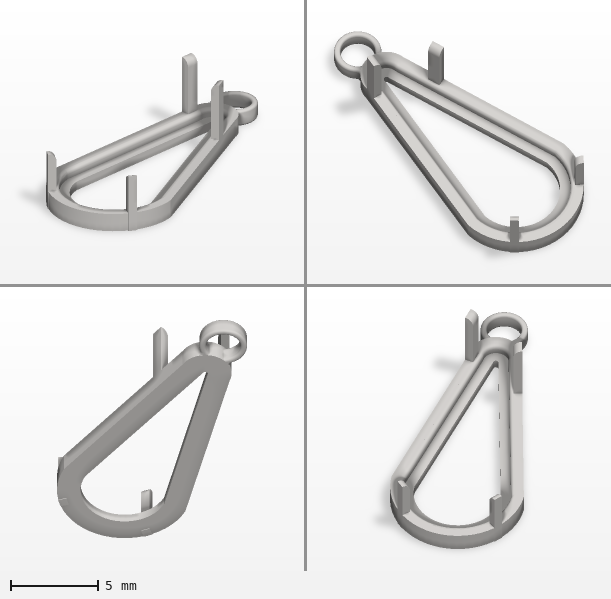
import cadquery as cq
import math

wide_radius = 3.875
narrow_radius = 1.5
centre_distance = 10.5
frame_height = 1.1
wall_thickness = 0.5
rim_round = 0.25
ledge_width = 0.6
ledge_height = 0.55
seat_inset = wall_thickness + rim_round
opening_inset = seat_inset + ledge_width

overall_length = 18.06
ring_outer_radius = 1.36
ring_inner_radius = 1.0
ring_height = 1.0
ring_round = 0.16
neck_round = 0.23
ring_centre_y = overall_length - wide_radius - ring_outer_radius

prong_depth = 0.5
tall_prong_length = 0.76
tall_prong_top = 4.6
tall_prong_round = 0.49
left_prong_start = 0.0
right_prong_start = 1.97
short_prong_width = 0.52
short_prong_top = 3.45
short_prong_round = 0.49
short_prong_overhang = 0.04
left_short_angle = 223.5
right_short_angle = 318.8

side_rise = 0.1
side_top_x = math.sqrt(narrow_radius**2 - side_rise**2)
side_top_y = centre_distance + side_rise
side_lean = math.atan2(wide_radius - side_top_x, side_top_y)


def teardrop(inset, rise, bottom, top):
    """Two arcs joined by straight sides; the narrow arc ends at a rise above its centre."""
    wide = wide_radius - inset
    narrow = narrow_radius - inset
    side_end = (math.sqrt(narrow**2 - rise**2), centre_distance + rise)
    return (
        cq.Workplane("XY")
        .workplane(offset=bottom)
        .moveTo(-wide, 0)
        .threePointArc((0, -wide), (wide, 0))
        .lineTo(*side_end)
        .threePointArc((0, centre_distance + narrow), (-side_end[0], side_end[1]))
        .close()
        .extrude(top - bottom)
    )


def make_frame():
    """Teardrop wall with a rounded inner rim and a flat ledge around the opening."""
    frame = teardrop(0, side_rise, 0, frame_height)
    seat = teardrop(seat_inset, 0, ledge_height, frame_height)
    opening = teardrop(opening_inset, 0, 0, frame_height)
    frame = frame.cut(seat)
    inner_rim = frame.faces(">Z").wires(cq.selectors.AreaNthSelector(0))
    frame = inner_rim.edges().fillet(rim_round)
    return frame.cut(opening)


def ring_level_disc(centre_y, radius):
    return cq.Workplane("XY").center(0, centre_y).circle(radius).extrude(ring_height)


def make_ring():
    """Ring blended into a collar that lies inside the wall of the narrow end."""
    ring = ring_level_disc(ring_centre_y, ring_outer_radius)
    ring = ring.union(ring_level_disc(centre_distance, narrow_radius))
    neck_zone = cq.selectors.BoxSelector(
        (-narrow_radius, centre_distance + narrow_radius / 2, 0),
        (narrow_radius, ring_centre_y - ring_inner_radius / 2, ring_height),
    )
    ring = ring.edges("|Z").edges(neck_zone).fillet(neck_round)
    ring = ring.cut(ring_level_disc(ring_centre_y, ring_inner_radius))
    ring = ring.faces("<Z or >Z").edges().fillet(ring_round)
    collar_core = ring_level_disc(centre_distance, narrow_radius - wall_thickness)
    lower_half = (
        cq.Workplane("XY")
        .box(2 * narrow_radius, narrow_radius, ring_height, centered=(True, False, False))
        .translate((0, centre_distance - narrow_radius, 0))
    )
    return ring.cut(collar_core).cut(lower_half)


def make_prong(width, bottom, top, round_radius):
    """Post with its outer face at X = 0, reaching towards -X, inner top edge rounded."""
    return (
        cq.Workplane("XY")
        .box(prong_depth, width, top - bottom, centered=(False, True, False))
        .translate((-prong_depth, 0, bottom))
        .edges(">Z and <X")
        .fillet(round_radius)
    )


def tall_prong(start):
    """Post on the +X side wall, a given distance along it from the narrow end."""
    prong = make_prong(tall_prong_length, 0, tall_prong_top, tall_prong_round)
    along = start + tall_prong_length / 2
    x = side_top_x + along * math.sin(side_lean)
    y = side_top_y - along * math.cos(side_lean)
    return prong.rotate((0, 0, 0), (0, 0, 1), math.degrees(side_lean)).translate((x, y, 0))


def short_prong(angle):
    """Post on the wide end arc at a given angle."""
    prong = make_prong(short_prong_width, -short_prong_overhang, short_prong_top, short_prong_round)
    return prong.translate((wide_radius, 0, 0)).rotate((0, 0, 0), (0, 0, 1), angle)


result = make_frame()
result = result.union(make_ring())
result = result.union(tall_prong(right_prong_start))
result = result.union(tall_prong(left_prong_start).mirror("YZ"))
for angle in (left_short_angle, right_short_angle):
    result = result.union(short_prong(angle))